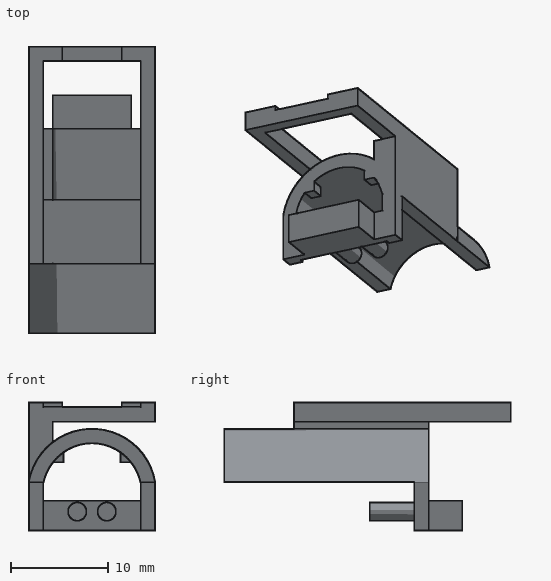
import cadquery as cq
import math

width = 13.0
length = 29.5
height = 13.2
half_width = width / 2
wall = 1.5

foot_z = 5.0
crown_z = 10.47
sleeve_back = 21.05
rise = crown_z - foot_z
outer_radius = (half_width**2 + rise**2) / (2 * rise)
inner_radius = outer_radius - wall
axis_z = crown_z - outer_radius

frame_front = 7.17
frame_bottom = 11.18
shelf_back = 13.72
recess_depth = 0.47
notch_width = 6.08
opening_width = width - 2 * wall

side_wall_thickness = 2.48

leg_front = sleeve_back - wall
web_thickness = 1.0
block_height = 3.07
block_width = 8.08
block_back = 24.5
pin_diameter = 1.9
pin_spacing = 3.05
pin_z = 1.95
pin_front = 14.95

ledge_gap = 5.85
ledge_z = 7.02


def box(x0, x1, y0, y1, z0, z1):
    """Box given by its limits along each axis."""
    return cq.Workplane("XY").box(x1 - x0, y1 - y0, z1 - z0, centered=False).translate((x0, y0, z0))


def rod(radius, x, z, y0, y1):
    """Cylinder running along Y."""
    return cq.Workplane("XZ", origin=(x, y0, z)).circle(radius).extrude(y0 - y1)


def half_sleeve():
    upper_half = box(-half_width, half_width, 0, sleeve_back, foot_z, height)
    outer = rod(outer_radius, 0, axis_z, 0, sleeve_back)
    bore = rod(inner_radius, 0, axis_z, 0, sleeve_back)
    return outer.cut(bore).intersect(upper_half)


def top_frame():
    frame = box(-half_width, half_width, frame_front, length, frame_bottom, height)
    half_opening = opening_width / 2
    recess_floor = height - recess_depth
    opening = box(-half_opening, half_opening, shelf_back, length - wall, frame_bottom, height)
    shelf_recess = box(-half_opening, half_opening, frame_front, shelf_back, recess_floor, height)
    rear_notch = box(-notch_width / 2, notch_width / 2, length - wall, length, recess_floor, height)
    return frame.cut(opening).cut(shelf_recess).cut(rear_notch)


def side_wall():
    slab = box(-half_width, side_wall_thickness - half_width, frame_front, sleeve_back, foot_z, frame_bottom)
    return slab.cut(rod(inner_radius, 0, axis_z, frame_front, sleeve_back))


def leg(side):
    inner_x = half_width - wall
    x0, x1 = sorted((side * inner_x, side * half_width))
    return box(x0, x1, leg_front, sleeve_back, 0, foot_z)


def ledge(side):
    bore_half_width = math.sqrt(inner_radius**2 - (ledge_z - axis_z)**2)
    overlap_x = bore_half_width + wall / 2
    x0, x1 = sorted((side * ledge_gap / 2, side * overlap_x))
    filler = box(x0, x1, leg_front, sleeve_back, ledge_z, crown_z)
    return filler.intersect(rod(outer_radius, 0, axis_z, leg_front, sleeve_back))


web_front = sleeve_back - web_thickness
web = box(-half_width, half_width, web_front, sleeve_back, 0, block_height)
block = box(-block_width / 2, block_width / 2, sleeve_back, block_back, 0, block_height)

result = half_sleeve().union(top_frame()).union(side_wall()).union(web).union(block)
for side in (-1, 1):
    pin = rod(pin_diameter / 2, side * pin_spacing / 2, pin_z, pin_front, sleeve_back)
    result = result.union(leg(side)).union(ledge(side)).union(pin)